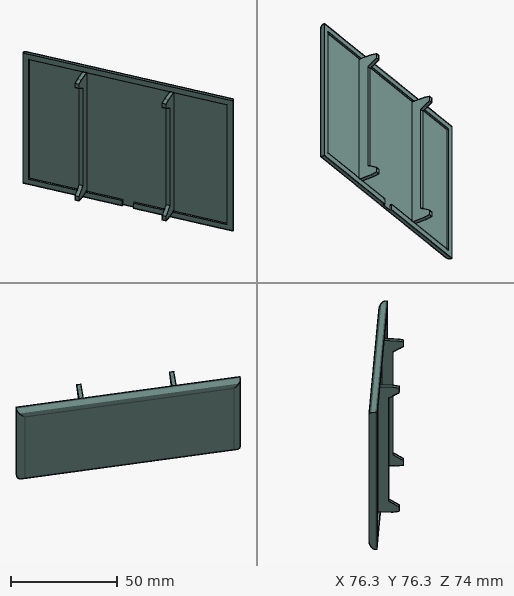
import cadquery as cq
import math

turn_angle = 45.0

overall_width = 76.3
plate_height = 74.0
edge_radius = 3.5
edge_land = 0.495
plate_thickness = edge_radius + edge_land
edge_overhang = edge_radius - (edge_radius - edge_land) / math.sqrt(2)
plate_length = (overall_width - edge_overhang) * math.sqrt(2)

rim_width = 3.0
recess_depth = 1.0

notch_width = 5.65

rib_spacing = 44.0
rib_thickness = 2.0
rib_length = 67.3
rib_low_height = 5.0
hook_height = 10.0
hook_taper_start = 7.0
hook_taper = 0.495
hook_tip_inset = 3.0
hook_foot_inset = 6.0


def make_plate():
    plate = cq.Workplane("XY").box(
        plate_length, plate_thickness, plate_height, centered=(True, False, True)
    )
    return plate.faces(">Y").edges().fillet(edge_radius)


def make_recess():
    return cq.Workplane("XY").box(
        plate_length - 2 * rim_width,
        recess_depth,
        plate_height - 2 * rim_width,
        centered=(True, False, True),
    )


def make_notch():
    notch = cq.Workplane("XY").box(
        notch_width, recess_depth, rim_width, centered=(True, False, False)
    )
    return notch.translate((0, 0, -plate_height / 2))


def make_rib(center_x):
    end_z = rib_length / 2
    floor_y = recess_depth
    low_y = floor_y - rib_low_height
    taper_y = floor_y - hook_taper_start
    tip_y = floor_y - hook_height
    upper_half = [
        (low_y, end_z - hook_foot_inset),
        (tip_y, end_z - hook_tip_inset),
        (tip_y, end_z - hook_taper),
        (taper_y, end_z),
        (floor_y, end_z),
    ]
    lower_half = [(y, -z) for y, z in reversed(upper_half)]
    profile = cq.Workplane("YZ").polyline(upper_half + lower_half).close()
    return profile.extrude(rib_thickness / 2, both=True).translate((center_x, 0, 0))


cover = make_plate().cut(make_recess()).cut(make_notch())
for side in (-1, 1):
    cover = cover.union(make_rib(side * rib_spacing / 2))

result = cover.rotate((0, 0, 0), (0, 0, 1), turn_angle)